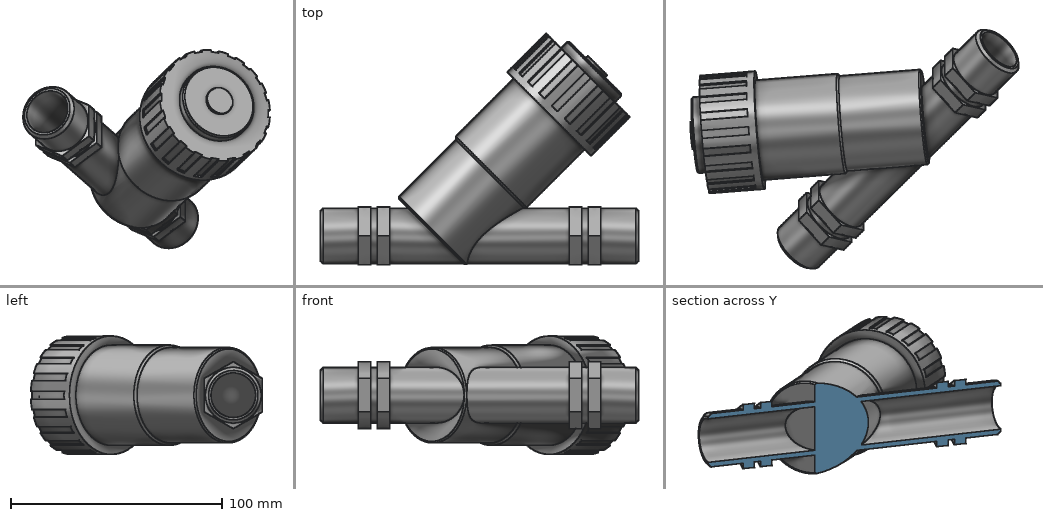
import cadquery as cq
import math

PIPE_LENGTH = 151.0
PIPE_DIAMETER = 26.5
PIPE_CHAMFER = 1.5
BORE_DIAMETER = 21.1

HEX_ACROSS_FLATS = 27.5
HEX_WIDTH = 6.0
HEX_GAP = 3.0
HEX_PAIR_OFFSET = 50.0

BRANCH_ANGLE = 45.0
BRANCH_START_X = -22.6
BRANCH_START_Y = 2.1
LOWER_DIAMETER = 45.3
LOWER_CHAMFER = 0.8
UPPER_DIAMETER = 47.5
STEP_START = 38.8
STEP_END = 39.9

CAP_DIAMETER = 56.2
CAP_START = 78.7
CAP_END = 104.6
DISC_DIAMETER = 36.2
DISC_END = 109.6
DISC_CHAMFER = 0.8
BOSS_DIAMETER = 13.0
BOSS_END = 111.1

GROOVE_COUNT = 20
GROOVE_WIDTH = 3.8
GROOVE_DEPTH = 0.9
GROOVE_START = 82.3


def axis_cylinder(plane, start, end, diameter):
    """Cylinder on the plane's normal, between two stations."""
    return cq.Workplane(plane).workplane(offset=start).circle(diameter / 2).extrude(end - start)


def chamfer_end(cylinder, plane, station, size):
    """Chamfer the rim of the cylinder's end face at the given station."""
    end_center = plane.toWorldCoords((0, 0, station)).toTuple()
    return cylinder.faces(cq.selectors.NearestToPointSelector(end_center)).chamfer(size)


def make_hex_ring(center_x):
    across_corners = HEX_ACROSS_FLATS / math.cos(math.radians(30))
    return (
        cq.Workplane("YZ", origin=(center_x - HEX_WIDTH / 2, 0, 0))
        .transformed(rotate=(0, 0, 90))
        .polygon(6, across_corners)
        .extrude(HEX_WIDTH)
    )


def make_pipe():
    pipe = axis_cylinder("YZ", -PIPE_LENGTH / 2, PIPE_LENGTH / 2, PIPE_DIAMETER)
    pipe = pipe.faces("<X or >X").chamfer(PIPE_CHAMFER)
    ring_spacing = HEX_WIDTH + HEX_GAP
    for side in (-1, 1):
        for ring in (-0.5, 0.5):
            pipe = pipe.union(make_hex_ring(side * HEX_PAIR_OFFSET + ring * ring_spacing))
    bore = axis_cylinder("YZ", -PIPE_LENGTH / 2, PIPE_LENGTH / 2, BORE_DIAMETER)
    return pipe.cut(bore)


def make_branch_plane():
    """Plane at the branch's lower face: normal along the branch, local Y along +Z."""
    angle = math.radians(BRANCH_ANGLE)
    return cq.Plane(
        origin=(BRANCH_START_X, BRANCH_START_Y, 0),
        xDir=(-math.sin(angle), math.cos(angle), 0),
        normal=(math.cos(angle), math.sin(angle), 0),
    )


def make_branch(plane):
    lower = axis_cylinder(plane, 0, STEP_START, LOWER_DIAMETER)
    lower = chamfer_end(lower, plane, 0, LOWER_CHAMFER)
    step = (
        cq.Workplane(plane)
        .workplane(offset=STEP_START)
        .circle(LOWER_DIAMETER / 2)
        .workplane(offset=STEP_END - STEP_START)
        .circle(UPPER_DIAMETER / 2)
        .loft()
    )
    upper = axis_cylinder(plane, STEP_END, CAP_START, UPPER_DIAMETER)
    return lower.union(step).union(upper)


def make_cap(plane):
    cap = axis_cylinder(plane, CAP_START, CAP_END, CAP_DIAMETER)
    grooves = (
        cq.Workplane(plane)
        .workplane(offset=GROOVE_START)
        .polarArray(CAP_DIAMETER / 2, 0, 360, GROOVE_COUNT)
        .rect(2 * GROOVE_DEPTH, GROOVE_WIDTH)
        .extrude(CAP_END - GROOVE_START)
    )
    disc = axis_cylinder(plane, CAP_END, DISC_END, DISC_DIAMETER)
    disc = chamfer_end(disc, plane, DISC_END, DISC_CHAMFER)
    boss = axis_cylinder(plane, DISC_END, BOSS_END, BOSS_DIAMETER)
    return cap.cut(grooves).union(disc).union(boss)


branch_plane = make_branch_plane()
result = make_pipe().union(make_branch(branch_plane)).union(make_cap(branch_plane))